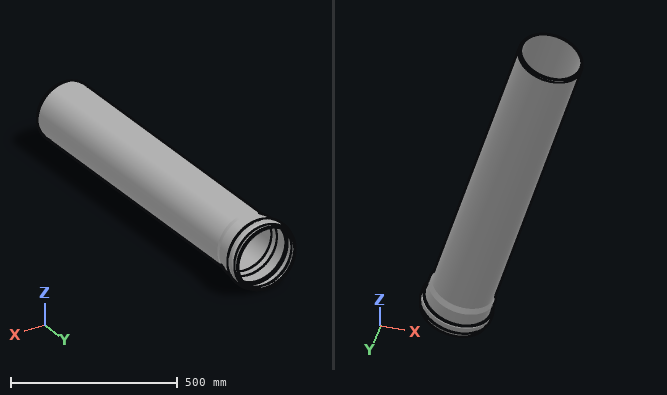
import cadquery as cq
import math

length = 1099.0
pipe_diameter = 200.0
bore_diameter = 188.0

chamfer_length = 8.0
chamfer_depth = 2.7

socket_outer_diameter = 211.0
socket_inner_diameter = 201.0

bead_outer_diameter = 225.0
bead_inner_diameter = 217.0
bead_corner_radius = 5.0

bead_start = 15.0
bead_crest_start = 24.0
bead_crest_end = 41.0
bead_end = 48.0
taper_start = 95.0
taper_end = 114.0

plain_end = -length / 2
mouth = length / 2


def round_bead_corner(profile, crest_radius):
    """Add the quarter-round from the steep bead shoulder up to the crest."""
    center_radius = crest_radius - bead_corner_radius
    crest_y = mouth - bead_crest_end
    diagonal = bead_corner_radius * math.sqrt(0.5)
    return profile.threePointArc(
        (center_radius + diagonal, crest_y - diagonal),
        (crest_radius, crest_y),
    )


def solid_of_revolution(pipe_dia, socket_dia, bead_dia, end_chamfer_depth=0):
    """Solid bounded by one wall surface of the pipe, turned around the Y axis."""
    pipe_radius = pipe_dia / 2
    socket_radius = socket_dia / 2
    bead_radius = bead_dia / 2

    profile = cq.Workplane("XY").moveTo(0, plain_end)
    profile = profile.lineTo(pipe_radius - end_chamfer_depth, plain_end)
    if end_chamfer_depth > 0:
        profile = profile.lineTo(pipe_radius, plain_end + chamfer_length)
    profile = (
        profile.lineTo(pipe_radius, mouth - taper_end)
        .lineTo(socket_radius, mouth - taper_start)
        .lineTo(socket_radius, mouth - bead_end)
    )
    shoulder_top_y = mouth - bead_crest_end - bead_corner_radius
    profile = profile.lineTo(bead_radius - bead_corner_radius, shoulder_top_y)
    profile = round_bead_corner(profile, bead_radius)

    profile = profile.lineTo(bead_radius, mouth - bead_crest_start)
    profile = profile.tangentArcPoint((socket_radius, mouth - bead_start), relative=False)
    return (
        profile.lineTo(socket_radius, mouth)
        .lineTo(0, mouth)
        .close()
        .revolve(360, (0, 0, 0), (0, 1, 0))
    )


outer_body = solid_of_revolution(
    pipe_diameter, socket_outer_diameter, bead_outer_diameter, chamfer_depth
)
inner_space = solid_of_revolution(bore_diameter, socket_inner_diameter, bead_inner_diameter)

result = outer_body.cut(inner_space)